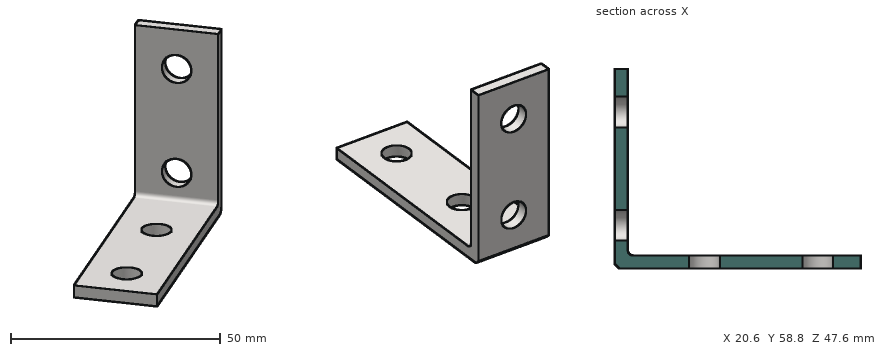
import cadquery as cq

width = 20.6
base_length = 58.75
wall_height = 47.65
thickness = 3.2
inner_radius = 1.2
outer_chamfer = 1.05

hole_diameter = 7.2
end_margin = 10.3
hole_spacing = 27.0
hole_offsets = (end_margin, end_margin + hole_spacing)


def make_angle():
    """Base plate on the ground with the wall standing at its +Y end."""
    base = cq.Workplane("XY").box(width, base_length, thickness, centered=(True, False, False))
    wall = (
        cq.Workplane("XY")
        .box(width, thickness, wall_height, centered=(True, False, False))
        .translate((0, base_length - thickness, 0))
    )
    return base.union(wall)


def finish_bend(angle):
    """Round the inside edge of the bend and chamfer its outside edge."""
    inner_edge = cq.selectors.NearestToPointSelector((0, base_length - thickness, thickness))
    outer_edge = cq.selectors.NearestToPointSelector((0, base_length, 0))
    angle = angle.edges("|X").edges(inner_edge).fillet(inner_radius)
    return angle.edges("|X").edges(outer_edge).chamfer(outer_chamfer)


def base_hole(offset):
    """Vertical cutter for the base, offset from its free end."""
    return cq.Workplane("XY").center(0, offset).circle(hole_diameter / 2).extrude(thickness)


def wall_hole(offset):
    """Horizontal cutter for the wall, offset down from its top."""
    return (
        cq.Workplane("XZ", origin=(0, base_length, wall_height - offset))
        .circle(hole_diameter / 2)
        .extrude(thickness)
    )


result = finish_bend(make_angle())
for hole_offset in hole_offsets:
    result = result.cut(base_hole(hole_offset)).cut(wall_hole(hole_offset))